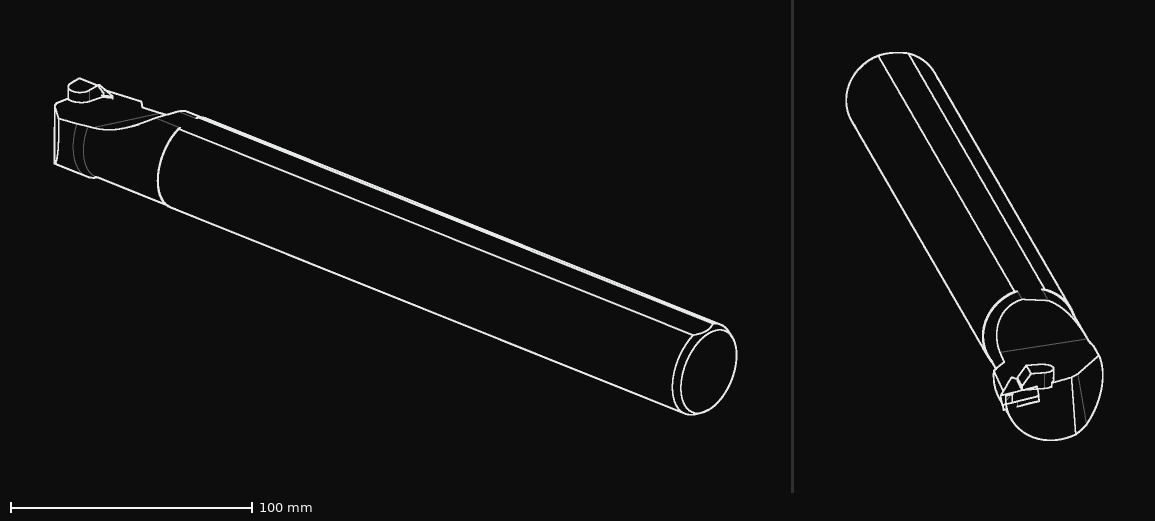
import cadquery as cq
import math

TOTAL_LENGTH = 350.0
SHANK_RADIUS = 20.0
NECK_RADIUS = 19.5
FLAT_HEIGHT = 19.0
SHANK_START = 70.0
END_CHAMFER_LENGTH = 3.0
END_CHAMFER_DEPTH = 1.8

HEAD_RADIUS = 22.5
HEAD_OFFSET_Y = 2.5
HEAD_LENGTH = 24.5
TAPER_LENGTH = 5.2

RAKE_HEIGHT = 5.0
RAKE_SLOPE_X = 0.08
RAKE_SLOPE_Y = -0.18
RUNOUT_START = 35.0
RUNOUT_RADIUS = 36.0
RUNOUT_TURN = 11.0

TIP_Y = 27.0
INSERT_SIDE = 15.8
INSERT_THICKNESS = 4.5
INSERT_RISE = 0.7
SHIM_SETBACK = 0.18
SHIM_THICKNESS = 2.5

CLAMP_RADIUS = 5.0
CLAMP_CENTER_Y = 8.5
CLAMP_BASE = 2.5
CLAMP_TOP = 9.5
CLAMP_NOSE_START = 14.0
CLAMP_NOSE_END = 18.0
CLAMP_NOSE_DROP = 5.2

FRONT_RELIEF = (2.0, -0.09, -0.08)
CORNER_BEVEL = (0.2, -0.56, -0.04)
SIDE_CHAMFER = (-3.0, -1.0, 0.04)

TOOL_SIZE = 210.0


def rake_plane(y, rise=0.0):
    """Plane on the rake face at X = 0, with its local Y axis square to X."""
    origin = cq.Vector(0, y, RAKE_HEIGHT + RAKE_SLOPE_Y * y + rise)
    normal = cq.Vector(-RAKE_SLOPE_X, -RAKE_SLOPE_Y, 1)
    across = cq.Vector(0, 1, RAKE_SLOPE_Y)
    return cq.Plane(origin=origin, xDir=across.cross(normal), normal=normal)


def outside_of(x, slope_y, slope_z):
    """Solid on the low-X side of the plane X = x + slope_y * Y + slope_z * Z."""
    plane = cq.Plane(origin=(x, 0, 0), xDir=(slope_y, 1, 0), normal=(-1, slope_y, slope_z))
    return cq.Workplane(plane).rect(TOOL_SIZE, TOOL_SIZE).extrude(TOOL_SIZE)


def make_shank():
    neck = cq.Workplane("YZ").circle(NECK_RADIUS).extrude(SHANK_START)
    end_radius = SHANK_RADIUS - END_CHAMFER_DEPTH
    profile = [
        (SHANK_START, 0),
        (SHANK_START, SHANK_RADIUS),
        (TOTAL_LENGTH - END_CHAMFER_LENGTH, SHANK_RADIUS),
        (TOTAL_LENGTH, end_radius),
        (TOTAL_LENGTH, 0),
    ]
    shank = cq.Workplane("XY").polyline(profile).close().revolve(360, (0, 0), (1, 0))
    flats = cq.Workplane("XY").box(2 * TOTAL_LENGTH, 2 * SHANK_RADIUS, 2 * FLAT_HEIGHT)
    return neck.union(shank).intersect(flats)


def make_head():
    """Eccentric cylinder that blends into the neck through an oblique cone."""
    head = cq.Workplane("YZ").center(HEAD_OFFSET_Y, 0).circle(HEAD_RADIUS).extrude(HEAD_LENGTH)
    taper = (
        cq.Workplane("YZ", origin=(HEAD_LENGTH, 0, 0))
        .center(HEAD_OFFSET_Y, 0)
        .circle(HEAD_RADIUS)
        .workplane(offset=TAPER_LENGTH)
        .center(-HEAD_OFFSET_Y, 0)
        .circle(NECK_RADIUS)
        .loft(ruled=True)
    )
    return head.union(taper)


def make_rake_cut():
    """Material removed above the rake face and along its concave run-out."""
    mid_angle = math.radians(45)
    middle = (
        RUNOUT_START + RUNOUT_RADIUS * math.sin(mid_angle),
        RUNOUT_RADIUS * (1 - math.cos(mid_angle)),
    )
    end = (RUNOUT_START + RUNOUT_RADIUS, RUNOUT_RADIUS)
    face = rake_plane(0).rotated((0, 0, -RUNOUT_TURN))
    side = cq.Plane(origin=face.origin, xDir=face.xDir, normal=-face.yDir)
    return (
        cq.Workplane(side)
        .moveTo(-RUNOUT_START, 0)
        .lineTo(RUNOUT_START, 0)
        .threePointArc(middle, end)
        .lineTo(-RUNOUT_START, RUNOUT_RADIUS)
        .close()
        .extrude(TOOL_SIZE / 2, both=True)
    )


def make_clamp():
    """Round-ended finger whose nose slopes down onto the insert."""
    nose_bottom = CLAMP_TOP - CLAMP_NOSE_DROP
    side_profile = [
        (CLAMP_CENTER_Y - CLAMP_RADIUS, CLAMP_BASE),
        (CLAMP_CENTER_Y - CLAMP_RADIUS, CLAMP_TOP),
        (CLAMP_NOSE_START, CLAMP_TOP),
        (CLAMP_NOSE_END, nose_bottom),
        (CLAMP_NOSE_END, CLAMP_BASE),
    ]
    width = 2 * CLAMP_RADIUS
    side = cq.Workplane("YZ").polyline(side_profile).close().extrude(width)
    plan = (
        cq.Workplane("XY")
        .moveTo(0, CLAMP_NOSE_END)
        .lineTo(0, CLAMP_CENTER_Y)
        .threePointArc((CLAMP_RADIUS, CLAMP_CENTER_Y - CLAMP_RADIUS), (width, CLAMP_CENTER_Y))
        .lineTo(width, CLAMP_NOSE_END)
        .close()
        .extrude(CLAMP_TOP)
    )
    return side.intersect(plan)


def triangle_prism(plane, side, thickness, setback=0.0):
    """Equilateral prism below the plane, one edge parallel to local Y."""
    corners = [
        (setback, -setback),
        (setback, -setback - side),
        (setback + side * math.cos(math.radians(30)), -setback - side / 2),
    ]
    return cq.Workplane(plane).polyline(corners).close().extrude(-thickness)


def make_insert():
    return triangle_prism(rake_plane(TIP_Y, INSERT_RISE), INSERT_SIDE, INSERT_THICKNESS)


def make_shim_step():
    """Seat below the insert that stands proud of the relieved front face."""
    depth = INSERT_THICKNESS + SHIM_THICKNESS
    side = INSERT_SIDE - 2 * SHIM_SETBACK
    return triangle_prism(rake_plane(TIP_Y, INSERT_RISE), side, depth, SHIM_SETBACK)


def make_holder(insert):
    holder = make_shank().union(make_head()).cut(make_rake_cut())
    for face in (FRONT_RELIEF, CORNER_BEVEL, SIDE_CHAMFER):
        holder = holder.cut(outside_of(*face))
    return holder.union(make_clamp()).union(make_shim_step()).cut(insert)


insert = make_insert()
holder = make_holder(insert)
result = cq.Compound.makeCompound([holder.val(), insert.val()])